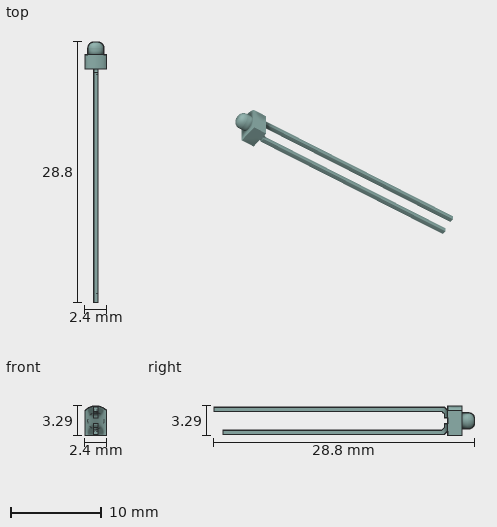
import cadquery as cq
import math

overall_length = 28.76

body_width = 2.4
body_depth = 1.6
body_round_radius = 1.65
axis_height = 1.644

lens_radius = 0.9
lens_length = 1.4
lens_tip_fillet = 0.7

lead_pitch = 2.54
lead_size = 0.5
lead_length_difference = 1.0
foot_gap = 0.63
foot_depth = 0.35
outer_bend_chamfer = 0.35
inner_bend_chamfer = 0.27

long_lead_length = overall_length - body_depth - lens_length
short_lead_length = long_lead_length - lead_length_difference


def make_body():
    """Block with vertical sides and an arched top, running back along +Y."""
    half_width = body_width / 2
    side_height = axis_height + math.sqrt(body_round_radius**2 - half_width**2)
    return (
        cq.Workplane("XZ")
        .moveTo(-half_width, 0)
        .lineTo(half_width, 0)
        .lineTo(half_width, side_height)
        .threePointArc((0, axis_height + body_round_radius), (-half_width, side_height))
        .close()
        .extrude(-body_depth)
    )


def make_lens():
    """Cylinder on the back face of the body, with its far rim rounded."""
    return (
        cq.Workplane("XZ", origin=(0, body_depth, axis_height))
        .circle(lens_radius)
        .extrude(-lens_length)
        .faces(">Y")
        .edges()
        .fillet(lens_tip_fillet)
    )


def make_lead(length, side):
    """Bent lead reaching along -Y; side is +1 above the lens axis and -1 below it."""
    foot_end = foot_gap / 2
    inner = (lead_pitch - lead_size) / 2
    outer = (lead_pitch + lead_size) / 2
    profile = [
        (0, foot_end),
        (-foot_depth, foot_end),
        (-foot_depth, inner - inner_bend_chamfer),
        (-foot_depth - inner_bend_chamfer, inner),
        (-length, inner),
        (-length, outer),
        (-foot_depth, outer),
        (0, outer - outer_bend_chamfer),
    ]
    points = [(y, axis_height + side * offset) for y, offset in profile]
    return cq.Workplane("YZ").polyline(points).close().extrude(lead_size / 2, both=True)


result = (
    make_body()
    .union(make_lens())
    .union(make_lead(long_lead_length, 1))
    .union(make_lead(short_lead_length, -1))
)